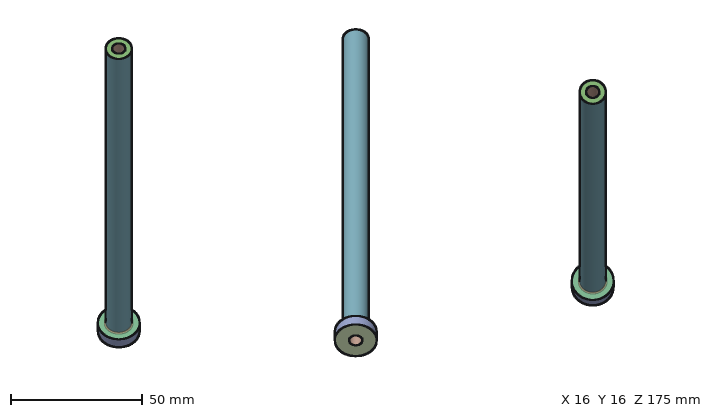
import cadquery as cq

total_length = 175.0
head_diameter = 16.0
head_height = 5.0
shank_diameter = 10.0
bore_diameter = 5.0
neck_fillet_radius = 0.5


def sleeve():
    """Half section of the tube, bore included, revolved about the Z axis."""
    head_radius = head_diameter / 2
    shank_radius = shank_diameter / 2
    bore_radius = bore_diameter / 2
    half_section = (
        cq.Workplane("XZ")
        .moveTo(bore_radius, 0)
        .lineTo(head_radius, 0)
        .lineTo(head_radius, head_height)
        .lineTo(shank_radius + neck_fillet_radius, head_height)
        .radiusArc((shank_radius, head_height + neck_fillet_radius), neck_fillet_radius)
        .lineTo(shank_radius, total_length)
        .lineTo(bore_radius, total_length)
        .close()
    )
    return half_section.revolve(360, (0, 0, 0), (0, 1, 0))


result = sleeve()